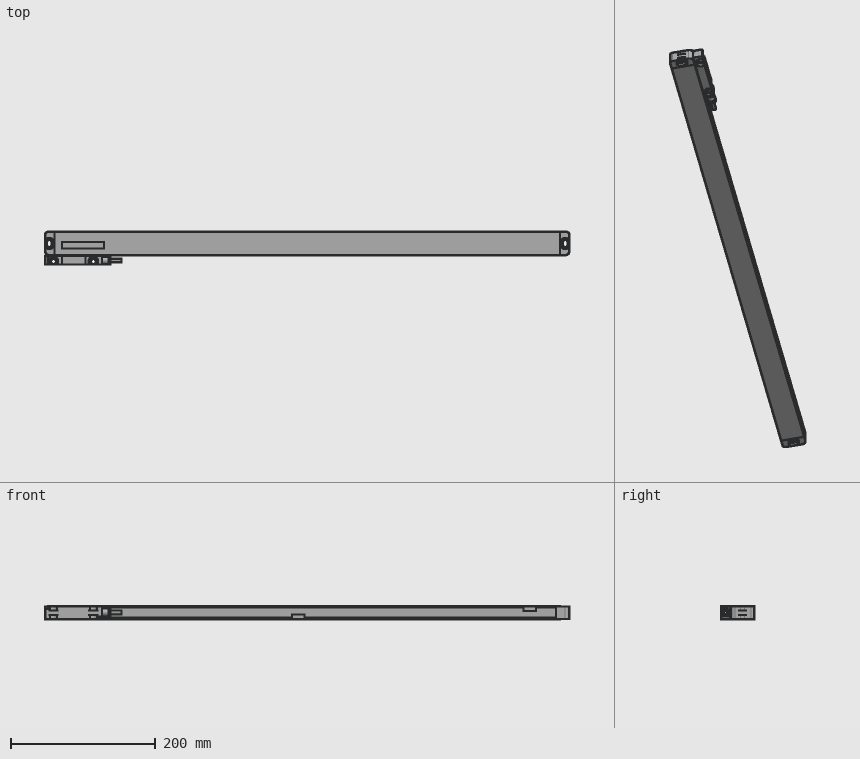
import cadquery as cq

LENGTH = 725.0
HEIGHT = 18.0
FRONT_Y = 13.0
BACK_Y = 46.0
CENTER_Y = (FRONT_Y + BACK_Y) / 2
FRONT_CORNER_RADIUS = 6.0
BACK_CORNER_RADIUS = 4.0
STEP_LENGTH = 13.0
STEP_DEPTH = 0.2
HOUSING_SLOT_INSET = 6.0
HOUSING_SLOT_WIDTH = 6.0
HOUSING_SEAT_WIDTH = 10.0
HOUSING_SLOT_STRAIGHT = 5.0
CHANNEL_INSET = 19.0
CHANNEL_DEPTH = 2.0
LIP_HEIGHT = 2.0
TAB_LENGTH = 17.5
TAB_HEIGHT = 6.5
UPPER_TAB_X = 661.0
LOWER_TAB_X = 341.5
LABEL_X = 23.0
LABEL_Y = 22.5
LABEL_LENGTH = 58.0
LABEL_WIDTH = 9.0
LABEL_DEPTH = 0.35

HEAD_LENGTH = 79.0
HEAD_DEPTH = 12.0
HEAD_HOLE_XS = (11.5, 67.0)
HEAD_HOLE_Y = 4.0
HEAD_HOLE_DIAMETER = 7.0
HEAD_SEAT_DIAMETER = 13.0
SEAT_DEPTH = 6.0
CORNER_NOTCH_LENGTH = 4.0
CORNER_NOTCH_HEIGHT = 3.5
PANEL_START_X = 23.0
PANEL_END_X = 56.0
PANEL_DEPTH = 0.15
OUTLET_Y = 6.0
OUTLET_Z = 9.5
GLAND_DIAMETER = 11.0
GLAND_END_X = 88.0
COLLAR_DIAMETER = 11.5
COLLAR_END_X = 90.5
CABLE_DIAMETER = 5.0
CABLE_END_X = 106.0


def box(x_range, y_range, z_range):
    """Box that fills the given (low, high) ranges."""
    lows, highs = zip(x_range, y_range, z_range)
    sizes = [high - low for low, high in zip(lows, highs)]
    return cq.Workplane("XY").box(*sizes, centered=False).translate(lows)


def upright_slot(x, y, width, straight, bottom, top):
    """Round-ended column, stretched along Y by the straight length (0 gives a cylinder)."""
    column = cq.Workplane("XY", origin=(x, y, bottom))
    if straight > 0:
        column = column.slot2D(straight + width, width, angle=90)
    else:
        column = column.circle(width / 2)
    return column.extrude(top - bottom)


def outlet_cylinder(start_x, end_x, diameter):
    """Cylinder along X on the cable outlet axis."""
    plane = cq.Workplane("YZ", origin=(start_x, OUTLET_Y, OUTLET_Z))
    return plane.circle(diameter / 2).extrude(end_x - start_x)


def cut_screw_hole(body, x, y, hole_width, seat_width, straight=0):
    """Through hole along Z with a wider seat sunk in the top and in the bottom."""
    body = body.cut(upright_slot(x, y, hole_width, straight, 0, HEIGHT))
    body = body.cut(upright_slot(x, y, seat_width, straight, 0, SEAT_DEPTH))
    return body.cut(upright_slot(x, y, seat_width, straight, HEIGHT - SEAT_DEPTH, HEIGHT))


def make_housing():
    full_depth = (FRONT_Y, BACK_Y)
    body = box((0, LENGTH), full_depth, (0, HEIGHT))
    body = body.edges("|Z and <Y").fillet(FRONT_CORNER_RADIUS)
    body = body.edges("|Z and >Y").fillet(BACK_CORNER_RADIUS)

    for x_range in ((0, STEP_LENGTH), (LENGTH - STEP_LENGTH, LENGTH)):
        for z_range in ((0, STEP_DEPTH), (HEIGHT - STEP_DEPTH, HEIGHT)):
            body = body.cut(box(x_range, full_depth, z_range))

    channel_depth = (FRONT_Y, FRONT_Y + CHANNEL_DEPTH)
    channel = box(
        (CHANNEL_INSET, LENGTH - CHANNEL_INSET), channel_depth, (LIP_HEIGHT, HEIGHT - LIP_HEIGHT)
    )
    upper_tab = box(
        (UPPER_TAB_X, UPPER_TAB_X + TAB_LENGTH), channel_depth, (HEIGHT - TAB_HEIGHT, HEIGHT)
    )
    lower_tab = box((LOWER_TAB_X, LOWER_TAB_X + TAB_LENGTH), channel_depth, (0, TAB_HEIGHT))
    body = body.cut(channel.cut(upper_tab).cut(lower_tab))

    for x in (HOUSING_SLOT_INSET, LENGTH - HOUSING_SLOT_INSET):
        body = cut_screw_hole(
            body, x, CENTER_Y, HOUSING_SLOT_WIDTH, HOUSING_SEAT_WIDTH, HOUSING_SLOT_STRAIGHT
        )

    return body.cut(box(
        (LABEL_X, LABEL_X + LABEL_LENGTH),
        (LABEL_Y, LABEL_Y + LABEL_WIDTH),
        (HEIGHT - LABEL_DEPTH, HEIGHT),
    ))


def make_head():
    full_depth = (0, HEAD_DEPTH)
    body = box((0, HEAD_LENGTH), full_depth, (0, HEIGHT))

    for x in HEAD_HOLE_XS:
        body = cut_screw_hole(body, x, HEAD_HOLE_Y, HEAD_HOLE_DIAMETER, HEAD_SEAT_DIAMETER)

    upper_notch = box(
        (0, CORNER_NOTCH_LENGTH), full_depth, (HEIGHT - CORNER_NOTCH_HEIGHT, HEIGHT)
    )
    lower_notch = box(
        (HEAD_LENGTH - CORNER_NOTCH_LENGTH, HEAD_LENGTH), full_depth, (0, CORNER_NOTCH_HEIGHT)
    )
    body = body.cut(upper_notch).cut(lower_notch)

    body = body.cut(box((PANEL_START_X, PANEL_END_X), full_depth, (HEIGHT - PANEL_DEPTH, HEIGHT)))

    body = body.union(outlet_cylinder(HEAD_LENGTH, GLAND_END_X, GLAND_DIAMETER))
    body = body.union(outlet_cylinder(GLAND_END_X, COLLAR_END_X, COLLAR_DIAMETER))
    return body.union(outlet_cylinder(COLLAR_END_X, CABLE_END_X, CABLE_DIAMETER))


housing = make_housing()
head = make_head()
result = cq.Compound.makeCompound([housing.val(), head.val()])